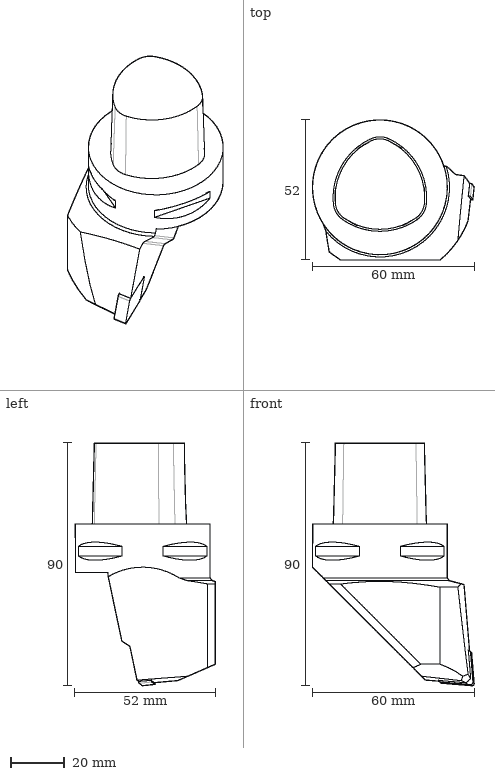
import cadquery as cq
import math


shank_height = 30.0
lobe_center_radius = 10.5
lobe_radius = 8.2
side_center_radius = 7.7
shank_taper = math.degrees(math.atan(1 / 40))

flange_radius = 25.0
flange_height = 18
notch_flat_distance = 22.2
notch_center_z = -10.1
notch_inner_height = 3.5
notch_side_angle = 30
notch_count = 4

neck_bottom_z = -20.0
collar_radius = 25.8
collar_bottom_z = -21.0
head_radius = 35.0
head_slope = 15
front_face_y = -27
undercut_sum = -41.0
undercut_bevel = 3.0
lower_bevel_top_z = -52.0
lower_bevel_angle = 23.6

tip_x = 35.0
tip_z = -60.0
flank_lean = 0.095
side_flank_relief = 0.1
end_flank_relief = 0.07
side_flank_setback = 0.6
end_flank_setback = 0.5
corner_cut_setback = 2.8
corner_cut_relief = 0.3

rake_angle = 8.5
pocket_length = 32.0
step_run = 2.7
step_rise = 3.0
step_fillet = 1.4

insert_angle = 80
insert_side = 12.9
insert_thickness = 4.8
nose_radius = 0.8

big = 135
root_half = math.sqrt(0.5)

tip_plane = cq.Plane(origin=(0, 0, 0), xDir=(1, 0, -1), normal=(1, 0, 1))
tip_distance = (tip_x - tip_z) * root_half
rake_slope = math.tan(math.radians(rake_angle))


def half_space(point, outward):
    """Large block on the outward side of a plane."""
    return cq.Workplane(cq.Plane(origin=point, normal=outward)).rect(2 * big, 2 * big).extrude(big)


def polar(radius, angle):
    return (radius * math.cos(math.radians(angle)), radius * math.sin(math.radians(angle)))


def make_shank():
    """Three tight lobes joined tangentially by long arcs, centred across the axis from their middles."""
    along = lobe_center_radius / 2 + side_center_radius
    across = lobe_center_radius * math.sqrt(3) / 2
    side_radius = math.hypot(along, across) + lobe_radius
    lobe_half_angle = 60 - math.degrees(math.atan2(across, along))

    def lobe_point(lobe_angle, direction):
        center = polar(lobe_center_radius, lobe_angle)
        offset = polar(lobe_radius, direction)
        return (center[0] + offset[0], center[1] + offset[1])

    outline = cq.Workplane("XY").moveTo(*lobe_point(90, 90 - lobe_half_angle))
    for lobe_angle in (90, 210, 330):
        outline = outline.threePointArc(lobe_point(lobe_angle, lobe_angle),
                                        lobe_point(lobe_angle, lobe_angle + lobe_half_angle))
        side_middle = polar(side_radius - side_center_radius, lobe_angle + 60)
        next_lobe = lobe_angle + 120
        outline = outline.threePointArc(side_middle, lobe_point(next_lobe, next_lobe - lobe_half_angle))
    return outline.close().extrude(shank_height, taper=shank_taper)


def make_notch(angle):
    """Trapezoidal groove, tangential to the flange and wider at its mouth."""
    depth = flange_radius - notch_flat_distance
    inner = notch_inner_height / 2
    outer = inner + depth * math.tan(math.radians(notch_side_angle))
    profile = [
        (notch_flat_distance, -inner),
        (flange_radius, -outer),
        (flange_radius, outer),
        (notch_flat_distance, inner),
    ]
    groove = cq.Workplane("XZ").polyline(profile).close().extrude(flange_radius, both=True)
    return groove.translate((0, 0, notch_center_z)).rotate((0, 0, 0), (0, 0, 1), angle)


def make_flange():
    flange = cq.Workplane("XY").circle(flange_radius).extrude(-flange_height)
    for index in range(notch_count):
        flange = flange.cut(make_notch((index + 0.5) * 360 / notch_count))
    return flange


def make_head_blank():
    """Turned blank: neck, small collar and sloping shoulder."""
    rim_z = collar_bottom_z - (head_radius - collar_radius) * math.tan(math.radians(head_slope))
    profile = [
        (0, -flange_height),
        (flange_radius, -flange_height),
        (flange_radius, neck_bottom_z),
        (collar_radius, collar_bottom_z),
        (head_radius, rim_z),
        (head_radius, tip_z),
        (0, tip_z),
    ]
    return cq.Workplane("XZ").polyline(profile).close().revolve(360, (0, 0, 0), (0, 1, 0))


def make_chip_pocket():
    """Block above the rake face and above the parallel face behind the step."""
    foot = (tip_distance - pocket_length, pocket_length * rake_slope)
    crest = (foot[0] - step_run, foot[1] + step_rise)
    profile = [
        (big, (tip_distance - big) * rake_slope),
        foot,
        crest,
        (-big, crest[1] + (crest[0] + big) * rake_slope),
        (-big, big),
        (big, big),
    ]
    pocket = cq.Workplane(tip_plane).polyline(profile).close().extrude(big, both=True)
    for corner in (foot, crest):
        position = tip_plane.toWorldCoords(corner).toTuple()
        pocket = pocket.edges(cq.selectors.NearestToPointSelector(position)).fillet(step_fillet)
    return pocket.cut(half_space((0, 0, -flange_height), (0, 0, 1)))


def make_head():
    head = make_head_blank().cut(make_chip_pocket())
    bevel_angle = math.radians(lower_bevel_angle)
    corner_cut = corner_cut_setback / 2
    trims = [
        ((0, front_face_y, 0), (0, -1, 0)),
        ((0, front_face_y, lower_bevel_top_z), (0, -math.sin(bevel_angle), -math.cos(bevel_angle))),
        ((tip_x - side_flank_setback, 0, tip_z), (1, -side_flank_relief, flank_lean)),
        ((tip_x, 0, tip_z + end_flank_setback), (-flank_lean, -end_flank_relief, -1)),
        ((tip_x - corner_cut, 0, tip_z + corner_cut), (1, -corner_cut_relief, -1)),
    ]
    for point, outward in trims:
        head = head.cut(half_space(point, outward))
    return head


def trim_underside(body):
    """Slanted undercut and the bevel joining it to the flat front."""
    body = body.cut(half_space((undercut_sum, 0, 0), (-1, 0, -1)))
    bevel_start = (undercut_sum, front_face_y + undercut_bevel, 0)
    return body.cut(half_space(bevel_start, (-root_half, -1, -root_half)))


def make_insert():
    """Rhombic plate with its top in the rake plane; its long bisector starts at the nose."""
    half_angle = math.radians(insert_angle / 2)
    nose_x = tip_x - nose_radius
    nose_z = tip_z + nose_radius
    nose_y = (tip_distance - (nose_x - nose_z) * root_half) * rake_slope
    rake_plane = cq.Plane(
        origin=(nose_x, nose_y, nose_z),
        xDir=(-root_half, rake_slope, root_half),
        normal=(rake_slope * root_half, 1, -rake_slope * root_half),
    )
    corner = -nose_radius / math.sin(half_angle)
    half_length = insert_side * math.cos(half_angle)
    half_width = insert_side * math.sin(half_angle)
    outline = [
        (corner, 0),
        (corner + half_length, half_width),
        (corner + 2 * half_length, 0),
        (corner + half_length, -half_width),
    ]
    plate = cq.Workplane(rake_plane).polyline(outline).close().extrude(-insert_thickness)
    return plate.edges(cq.selectors.ParallelDirSelector(rake_plane.zDir)).fillet(nose_radius)


insert = make_insert()
holder = make_flange().union(make_head())
holder = trim_underside(holder).union(make_shank()).cut(insert)

result = cq.Compound.makeCompound([holder.solids().val(), insert.solids().val()])